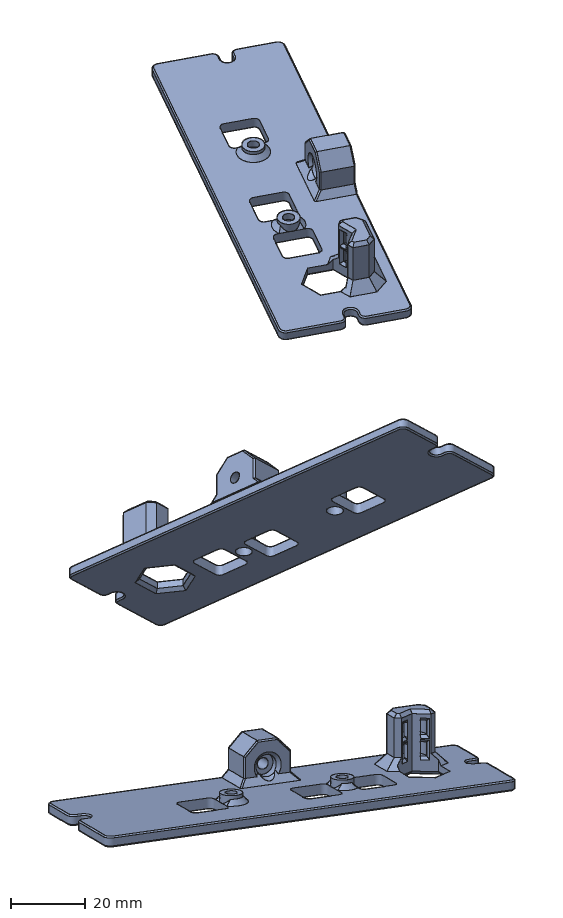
import cadquery as cq
import math

plate_length = 122.0
plate_width = 37.0
plate_thickness = 3.0
plate_corner_radius = 2.0
plate_edge_chamfer = 0.4
part_height = 18.0

slot_width = 3.7
slot_depth = 5.0
slot_y = 2.0
slot_mouth_radius = 1.8

window_size = 11.0
window_corner_radius = 1.5
window_centers = [(-25.0, -3.0), (8.0, -4.6), (25.0, -3.0)]

boss_spacing = 33.0
boss_y = -3.0
boss_diameter = 6.2
boss_height = 2.5
boss_foot = 1.5
boss_hole_diameter = 3.2
boss_bore_diameter = 4.5
boss_bore_depth = 3.5
boss_points = [(-boss_spacing / 2, boss_y), (boss_spacing / 2, boss_y)]

block_x = 0.0
block_width = 14.0
block_front_y = 8.5
block_top = 15.0
block_corner_cut = 4.0
block_flare = 2.0
block_edge_chamfer = 0.4
block_hole_z = 7.5
block_hole_diameter = 3.2
counterbore_diameter = 6.02
counterbore_depth = 3.0
counterbore_chamfer = 1.0
foot_slope_angle = 45.0

tower_x = 42.2
hex_flats = 12.2
hex_radius = hex_flats / math.sqrt(3)
hex_underside_chamfer = 1.0
tower_back_y = 12.0
tower_corner_cut = 2.0
tower_front_y = 9.0
tower_flare = 3.0
tower_top_chamfer = 1.0

channel_inner_radius = 2.2
channel_outer_radius = 3.9
channel_height = 4.0
channel_lip = 0.8
channel_levels = [7.0, 13.0]

rear_y = plate_width / 2
selection_margin = 0.1


def make_plate():
    plate = (
        cq.Workplane("XY")
        .rect(plate_length, plate_width)
        .extrude(plate_thickness)
        .edges("|Z")
        .fillet(plate_corner_radius)
    )
    for side in (-1, 1):
        end_x = side * plate_length / 2
        slot = (
            cq.Workplane("XY")
            .center(end_x, slot_y)
            .slot2D(2 * slot_depth, slot_width)
            .extrude(plate_thickness)
        )
        plate = plate.cut(slot)
        reach = slot_width / 2 + selection_margin
        mouth = cq.selectors.BoxSelector(
            (end_x - selection_margin, slot_y - reach, 0),
            (end_x + selection_margin, slot_y + reach, plate_thickness),
        )
        plate = plate.edges("|Z").edges(mouth).fillet(slot_mouth_radius)
    return plate.faces("<Z or >Z").edges().chamfer(plate_edge_chamfer)


def make_windows():
    return (
        cq.Workplane("XY")
        .pushPoints(window_centers)
        .rect(window_size, window_size)
        .extrude(plate_thickness)
        .edges("|Z")
        .fillet(window_corner_radius)
    )


def make_foot_clearance():
    """45 degree flares above the windows that trim the boss feet."""
    wide = window_size + 2 * boss_foot
    flares = cq.Workplane("XY")
    for center in window_centers:
        flare = (
            cq.Workplane("XY", origin=(*center, plate_thickness))
            .rect(window_size, window_size)
            .workplane(offset=boss_foot)
            .rect(wide, wide)
            .loft(ruled=True)
        )
        flares = flares.add(flare)
    return flares.combine()


def make_boss(point):
    radius = boss_diameter / 2
    body = (
        cq.Workplane("XY", origin=(*point, plate_thickness))
        .circle(radius)
        .extrude(boss_height)
    )
    foot = cq.Workplane("XY").add(
        cq.Solid.makeCone(
            radius + boss_foot,
            radius,
            boss_foot,
            pnt=cq.Vector(*point, plate_thickness),
        )
    )
    return foot.cut(make_foot_clearance()).union(body)


def make_boss_holes():
    holes = (
        cq.Workplane("XY")
        .pushPoints(boss_points)
        .circle(boss_hole_diameter / 2)
        .extrude(plate_thickness + boss_height)
    )
    bores = (
        cq.Workplane("XY")
        .pushPoints(boss_points)
        .circle(boss_bore_diameter / 2)
        .extrude(boss_bore_depth)
    )
    return holes.union(bores)


def block_section(workplane, half_width, depth):
    """Block plan with its two front corners bevelled; the rear side lies on the plate edge."""
    return workplane.polyline(
        [
            (-half_width, rear_y),
            (-half_width, rear_y - depth + block_edge_chamfer),
            (-half_width + block_edge_chamfer, rear_y - depth),
            (half_width - block_edge_chamfer, rear_y - depth),
            (half_width, rear_y - depth + block_edge_chamfer),
            (half_width, rear_y),
        ]
    ).close()


def make_block():
    half = block_width / 2
    depth = rear_y - block_front_y
    body = (
        cq.Workplane("XZ", origin=(block_x, rear_y, 0))
        .moveTo(-half, plate_thickness)
        .lineTo(half, plate_thickness)
        .lineTo(half, block_top - block_corner_cut)
        .lineTo(half - block_corner_cut, block_top)
        .lineTo(-half + block_corner_cut, block_top)
        .lineTo(-half, block_top - block_corner_cut)
        .close()
        .extrude(depth)
        .faces("<Y")
        .edges("not <Z")
        .chamfer(block_edge_chamfer)
    )
    base = cq.Workplane("XY", origin=(block_x, 0, plate_thickness))
    foot = block_section(base, half + block_flare, depth + block_flare)
    foot = block_section(foot.workplane(offset=block_flare), half, depth).loft(ruled=True)
    block = body.union(foot)
    block = block.faces(">Y").edges("not <Z").chamfer(block_edge_chamfer)
    return cut_block_hole(block)


def cut_block_hole(block):
    """Counterbored screw hole with a rim chamfered on the face and eased through the foot."""
    front = cq.Workplane("XZ", origin=(block_x, block_front_y, block_hole_z))
    hole = front.circle(block_hole_diameter / 2).extrude(block_front_y - rear_y)
    bore_radius = counterbore_diameter / 2
    counterbore = front.circle(bore_radius).extrude(-counterbore_depth)
    block = block.cut(counterbore.union(front.circle(bore_radius).extrude(block_flare)))
    face_rim = cq.selectors.BoxSelector(
        (block_x - block_width / 2, block_front_y - selection_margin, plate_thickness + block_flare),
        (block_x + block_width / 2, block_front_y + selection_margin, block_top),
    )
    block = block.edges("%CIRCLE").edges(face_rim).chamfer(counterbore_chamfer)
    lean = math.tan(math.radians(foot_slope_angle / 2))
    easing_length = counterbore_chamfer + block_flare
    easing = cq.Workplane("XY").add(
        cq.Solid.makeCone(
            bore_radius,
            bore_radius + lean * easing_length,
            easing_length,
            pnt=cq.Vector(block_x, block_front_y + counterbore_chamfer / 2, block_hole_z),
            dir=cq.Vector(0, -1, 0),
        )
    )
    return block.cut(easing).cut(hole)


def hex_prism(height):
    return (
        cq.Workplane("XY", origin=(tower_x, 0, 0))
        .polygon(6, 2 * hex_radius)
        .extrude(height)
        .rotate((tower_x, 0, 0), (tower_x, 0, 1), 30)
    )


def make_hex_relief():
    """Chamfer around the underside of the hexagonal opening."""
    wide = hex_radius + hex_underside_chamfer * 2 / math.sqrt(3)
    return (
        cq.Workplane("XY", origin=(tower_x, 0, 0))
        .polygon(6, 2 * wide)
        .workplane(offset=hex_underside_chamfer)
        .polygon(6, 2 * hex_radius)
        .loft(ruled=True)
        .rotate((tower_x, 0, 0), (tower_x, 0, 1), 30)
    )


def tower_outline(workplane, offset):
    """Tower plan, enlarged outward by offset; its front closes to a point inside the hexagon."""
    half = hex_flats / 2 + offset
    back = tower_back_y + offset
    corner = tower_corner_cut + offset * (2 - math.sqrt(2))
    front_tip = tower_front_y - hex_radius - offset * 2 / math.sqrt(3)
    front_side = front_tip + half / math.sqrt(3)
    return workplane.polyline(
        [
            (0, front_tip),
            (half, front_side),
            (half, back - corner),
            (half - corner, back),
            (-half + corner, back),
            (-half, back - corner),
            (-half, front_side),
        ]
    ).close()


def make_tower():
    base = cq.Workplane("XY", origin=(tower_x, 0, plate_thickness))
    column = tower_outline(base, 0).extrude(part_height - plate_thickness)
    column = column.cut(hex_prism(part_height)).faces(">Z").chamfer(tower_top_chamfer)
    raised = tower_outline(base, tower_flare).workplane(offset=tower_flare)
    foot = tower_outline(raised, 0).loft(ruled=True)
    return column.union(foot)


def make_channel_mouth(level, side):
    """Mouth in one V face, flared above, below and on the outer side."""
    across = (side * math.sqrt(3) / 2, -0.5, 0)
    inward = (side * 0.5, math.sqrt(3) / 2, 0)
    face = cq.Plane((tower_x, hex_radius, level), xDir=across, normal=inward)
    wide = channel_outer_radius - channel_inner_radius + channel_lip
    narrow = wide - channel_lip
    return (
        cq.Workplane(face)
        .center(channel_inner_radius + wide / 2, 0)
        .rect(wide, channel_height + 2 * channel_lip)
        .workplane(offset=channel_lip)
        .center(-channel_lip / 2, 0)
        .rect(narrow, channel_height)
        .loft(ruled=True)
    )


def make_channel(level):
    """Ring-shaped channel about the V edge, opening through both V faces."""
    channel = (
        cq.Workplane("XY", origin=(tower_x, hex_radius, level - channel_height / 2))
        .circle(channel_outer_radius)
        .circle(channel_inner_radius)
        .extrude(channel_height)
    )
    for side in (-1, 1):
        channel = channel.union(make_channel_mouth(level, side))
    return channel


result = make_plate().cut(make_windows())
for boss_point in boss_points:
    result = result.union(make_boss(boss_point))
result = result.cut(make_boss_holes())
result = result.union(make_block())
result = result.union(make_tower()).cut(hex_prism(part_height)).cut(make_hex_relief())
for channel_level in channel_levels:
    result = result.cut(make_channel(channel_level))